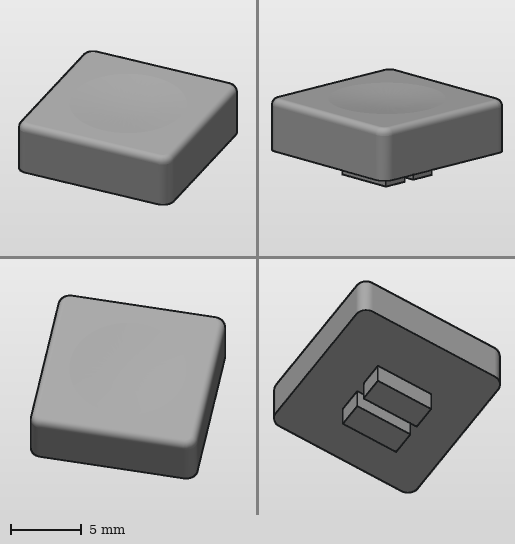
import cadquery as cq

cap_width = 12.0
cap_height = 3.8
corner_radius = 0.83
top_edge_radius = 0.5

dish_diameter = 8.3
dish_depth = 0.2

leg_length = 4.5
leg_span = 4.5
leg_gap = 0.8
leg_height = 1.8


def make_cap():
    """Block with rounded upright corners and a rounded top rim; its base is at Z = 0."""
    block = cq.Workplane("XY").rect(cap_width, cap_width).extrude(cap_height)
    return block.edges("|Z").fillet(corner_radius).faces(">Z").edges().fillet(top_edge_radius)


def make_dish():
    """Sphere that cuts the top face in a circle of the dish diameter."""
    rim_radius = dish_diameter / 2
    sphere_radius = (rim_radius**2 + dish_depth**2) / (2 * dish_depth)
    center_height = cap_height - dish_depth + sphere_radius
    return cq.Workplane("XY").sphere(sphere_radius).translate((0, 0, center_height))


def make_legs():
    """Pair of legs along X, on either side of a central gap."""
    leg_thickness = (leg_span - leg_gap) / 2
    leg_spacing = leg_gap + leg_thickness
    return (
        cq.Workplane("XY")
        .rarray(0.12, leg_spacing, 1, 2)
        .rect(leg_length, leg_thickness)
        .extrude(-leg_height)
    )


result = make_cap().cut(make_dish()).union(make_legs())